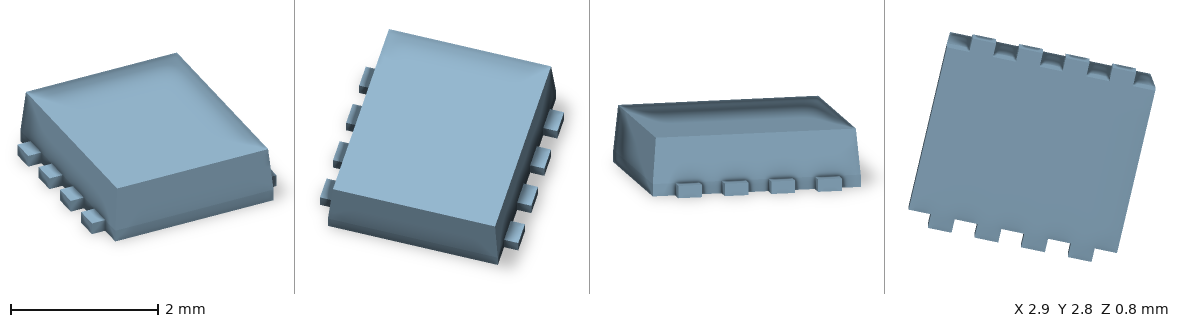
import cadquery as cq
import math

HOUSING_LENGTH = 2.9
HOUSING_WIDTH = 2.4
TOTAL_HEIGHT = 0.8
DRAFT_ANGLE = 5.0

LEADS_PER_SIDE = 4
LEAD_PITCH = 0.65
LEAD_WIDTH = 0.33
LEAD_THICKNESS = 0.17
OVERALL_WIDTH = 2.8
LEAD_LENGTH = (OVERALL_WIDTH - HOUSING_WIDTH) / 2


def make_housing():
    """Straight-walled base as thick as the leads, with a drafted upper part."""
    base = cq.Workplane("XY").box(
        HOUSING_LENGTH, HOUSING_WIDTH, LEAD_THICKNESS, centered=(True, True, False)
    )
    upper_height = TOTAL_HEIGHT - LEAD_THICKNESS
    inset = upper_height * math.tan(math.radians(DRAFT_ANGLE))
    upper = (
        cq.Workplane("XY", origin=(0, 0, LEAD_THICKNESS))
        .rect(HOUSING_LENGTH, HOUSING_WIDTH)
        .workplane(offset=upper_height)
        .rect(HOUSING_LENGTH - 2 * inset, HOUSING_WIDTH - 2 * inset)
        .loft(ruled=True)
    )
    return base.union(upper)


def make_lead(x, side):
    """Flat lead butting against the housing wall; side is -1 for -Y, +1 for +Y."""
    y = side * (HOUSING_WIDTH + LEAD_LENGTH) / 2
    return (
        cq.Workplane("XY", origin=(x, y, 0))
        .box(LEAD_WIDTH, LEAD_LENGTH, LEAD_THICKNESS, centered=(True, True, False))
    )


housing = make_housing()

leads = []
for side in (-1, 1):
    for index in range(LEADS_PER_SIDE):
        lead_x = (index - (LEADS_PER_SIDE - 1) / 2) * LEAD_PITCH
        leads.append(make_lead(lead_x, side).val())

result = cq.Compound.makeCompound([housing.val(), *leads])